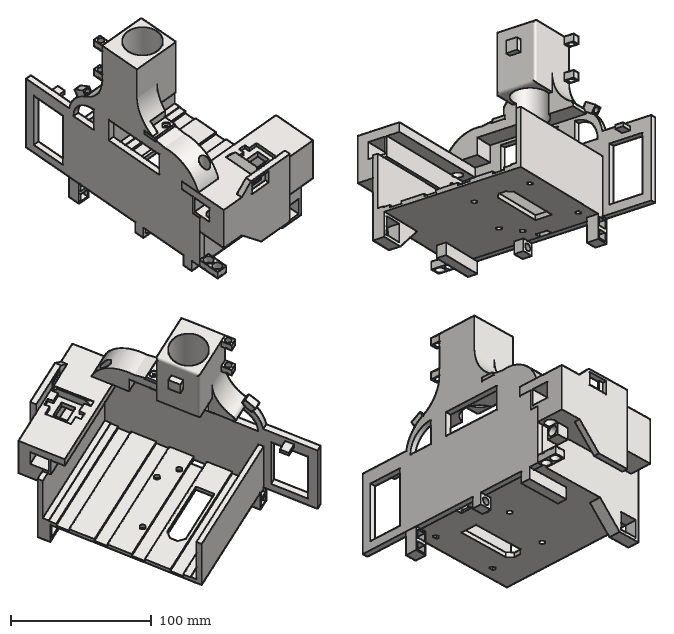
import cadquery as cq
import math


def block(x_range, y_range, z_range):
    """Axis-aligned block given by its extents."""
    (x0, x1), (y0, y1), (z0, z1) = x_range, y_range, z_range
    return cq.Workplane("XY").box(x1 - x0, y1 - y0, z1 - z0, centered=False).translate((x0, y0, z0))


def along_y(sketch, y_range):
    """Solid swept along +Y from a closed wire drawn on the XZ plane at Y = 0."""
    y0, y1 = y_range
    return sketch.extrude(-(y1 - y0)).translate((0, y0, 0))


def along_x(points, x_range):
    """Solid swept along +X from a list of (y, z) corners."""
    x0, x1 = x_range
    return cq.Workplane("YZ").polyline(points).close().extrude(x1 - x0).translate((x0, 0, 0))


def drill_x(diameter, y, z, x_range):
    """Cylinder along X, used as a drill."""
    x0, x1 = x_range
    return cq.Workplane("YZ").center(y, z).circle(diameter / 2).extrude(x1 - x0).translate((x0, 0, 0))


def drill_y(diameter, x, z, y_range):
    """Cylinder along Y, used as a drill."""
    return along_y(cq.Workplane("XZ").center(x, z).circle(diameter / 2), y_range)


def drill_z(diameter, x, y, z_range):
    """Cylinder along Z, used as a drill."""
    z0, z1 = z_range
    return cq.Workplane("XY").center(x, y).circle(diameter / 2).extrude(z1 - z0).translate((0, 0, z0))


plate_thickness = 5.0
plate_right = 173.4
shoulder_z = 68.0
plate_top = 152.0
tower_left = 76.0
tower_right = 110.8
tower_depth = 40.7
tower_base_z = 102.3
arch_depth = 20.3
arch_base_z = 85.7
arch_radius = 30.0
crest_z = 93.5
depth = 103.0
wall_height = 47.8
leg_bottom = -20.0
leg_width = 10.0
box_top = 71.9
lid_bottom = 64.2

left_arch_x = 72.9
arch_centre_z = crest_z - arch_radius
left_neck_x = tower_left - arch_radius
left_neck_z = 117.3
right_neck_z = crest_z + arch_radius
right_arch_x = plate_right - arch_radius

right_neck_middle = (119.7, 101.9)
right_neck_end = (128.8, 95.0)
right_arch_start_x = 138.2


def on_arc(centre_x, centre_z, degrees):
    """Point on an outline arc at an angle measured from +X."""
    angle = math.radians(degrees)
    return (centre_x + arch_radius * math.cos(angle), centre_z + arch_radius * math.sin(angle))


def neck_and_tower(sketch):
    """Continue an outline from the left inflection point over the tower to the right arch."""
    return (
        sketch
        .threePointArc(on_arc(left_neck_x, left_neck_z, -30), (tower_left, left_neck_z))
        .lineTo(tower_left, plate_top)
        .lineTo(tower_right, plate_top)
        .lineTo(tower_right, right_neck_z)
        .threePointArc(right_neck_middle, right_neck_end)
        .lineTo(right_arch_start_x, crest_z)
        .threePointArc(on_arc(right_arch_x, arch_centre_z, 45), (plate_right, arch_centre_z))
    )


inflection = ((left_arch_x + left_neck_x) / 2, (arch_centre_z + left_neck_z) / 2)


def plate_panel():
    """Full outline of the plate, one plate thickness deep."""
    rise = shoulder_z - arch_centre_z
    left_arch_start = (left_arch_x - math.sqrt(arch_radius**2 - rise**2), shoulder_z)
    outline = (
        cq.Workplane("XZ")
        .moveTo(0, 0)
        .lineTo(0, shoulder_z)
        .lineTo(*left_arch_start)
        .threePointArc(on_arc(left_arch_x, arch_centre_z, 145), inflection)
    )
    outline = neck_and_tower(outline).lineTo(plate_right, 0).close()
    return along_y(outline, (0, plate_thickness))


def deep_rim():
    """Deeper band behind the arches, ending on the lid at its right foot."""
    rim_left = 57.7
    end_hollow = 0.8
    rim_foot_left = 142.2
    outline = cq.Workplane("XZ").moveTo(rim_left, arch_base_z).sagittaArc(inflection, end_hollow)
    outline = (
        neck_and_tower(outline)
        .lineTo(rim_foot_left, arch_centre_z)
        .lineTo(rim_foot_left, arch_base_z)
        .close()
    )
    rim = along_y(outline, (0, arch_depth))
    return rim.cut(block((rim_foot_left, plate_right), (plate_thickness, arch_depth), (0, box_top)))


def tower():
    """Square tower with rounded rear edges and a small boss on its back."""
    edge_radius = 2.0
    body = block((tower_left, tower_right), (0, tower_depth), (tower_base_z, plate_top))
    body = body.faces(">Y").edges().fillet(edge_radius)
    boss = block((88.7, 98.3), (tower_depth - edge_radius, 45.5), (129.5, 139.6))
    return body.union(boss)


def plate_windows():
    """Quarter-round, wide and tall openings in the panel."""
    window_bottom = 63.0
    window_top = 83.1
    through = (0, plate_thickness)
    quarter_x = 67.5
    quarter_radius = window_top - window_bottom
    quarter = (
        cq.Workplane("XZ")
        .moveTo(quarter_x, window_bottom)
        .lineTo(quarter_x - quarter_radius, window_bottom)
        .radiusArc((quarter_x, window_top), quarter_radius)
        .close()
    )
    wide = block((82.5, 133.0), through, (window_bottom, window_top))
    tall = block((7.7, 37.0), through, (7.7, 56.0))
    return along_y(quarter, through).union(wide).union(tall)


tower_bore_diameter = 29.0
rim_hole_diameter = 8.0
rim_hole_x, rim_hole_y = 163.3, 15.2

tongue_left, tongue_right = 117.9, 130.0
tongue_bottom, tongue_top = crest_z, 96.4
tongue_pocket_left, tongue_pocket_front = 118.9, 5.5
tongue_bevel = 1.4


def tongue_blank():
    """Tongue without its holes; its right end is bevelled."""
    profile = (
        cq.Workplane("XZ")
        .moveTo(tongue_left, tongue_bottom)
        .lineTo(tongue_left, tongue_top)
        .lineTo(tongue_right - tongue_bevel, tongue_top)
        .lineTo(tongue_right, tongue_bottom)
        .close()
    )
    return along_y(profile, (0, arch_depth))


def plate_lugs():
    """Short drilled lug and long plain lug below the plate."""
    lug_width, lug_bottom = 8.3, -10.0
    short_left, short_depth = 109.0, leg_width
    long_left, long_depth = 157.2, 37.5
    short_span = (short_left, short_left + lug_width)
    short_lug = block(short_span, (0, short_depth), (lug_bottom, 0))
    short_lug = short_lug.cut(drill_x(6.0, short_depth / 2, lug_bottom / 2, short_span))
    long_lug = block((long_left, long_left + lug_width), (0, long_depth), (lug_bottom, 0))
    return short_lug.union(long_lug)


def make_front_plate():
    """Panel, rim and tower with their openings, cut back where the tongue and the box sit."""
    plate = plate_panel().union(deep_rim()).union(tower()).cut(plate_windows())
    bore_x, bore_y = (tower_left + tower_right) / 2, 23.3
    plate = plate.cut(drill_z(tower_bore_diameter, bore_x, bore_y, (0, plate_top)))
    plate = plate.cut(drill_z(rim_hole_diameter, rim_hole_x, rim_hole_y, (box_top, plate_top)))
    pocket = block(
        (tongue_pocket_left, tongue_right - tongue_bevel),
        (tongue_pocket_front, arch_depth),
        (tongue_top, right_neck_z),
    )
    plate = plate.cut(pocket).cut(tongue_blank())

    catch = block((18.5, 25.7), (plate_thickness, 13.5), (61.0, lid_bottom))
    return plate.union(plate_lugs()).union(catch).cut(box_blank())


box_left = 166.7
box_right = 192.5
box_depth = 95.4
box_bottom = 34.4
lid_left = 155.6
flange_right = 197.5


def box_blank():
    """Box hooked over the right wall, with the lid reaching left."""
    upper = block((box_left, box_right), (0, box_depth), (wall_height, box_top))
    outer = block((plate_right, box_right), (0, box_depth), (box_bottom, box_top))
    lid = block((lid_left, box_right), (0, box_depth), (lid_bottom, box_top))
    return upper.union(outer).union(lid)


def flange():
    """End flange with an upper ear, pierced by a window, and a lower ear."""
    ear_top, ear_bottom = 81.4, 14.6
    ear_window_top = 79.0
    front, rear = 18.2, 67.0
    outline = [
        (0, box_bottom),
        (0, box_top),
        (front, box_top),
        (front + ear_top - box_top, ear_top),
        (rear, ear_top),
        (rear, ear_bottom),
        (front + box_bottom - ear_bottom, ear_bottom),
        (front, box_bottom),
    ]
    window = block((box_right, flange_right), (29.6, 41.5), (box_top - 0.4, ear_window_top))
    web_thickness = 1.5
    relief = block((box_right + web_thickness, flange_right), (28.6, 45.5), (68.0, ear_window_top))
    return along_x(outline, (box_right, flange_right)).cut(window).cut(relief)


def ridge():
    """Hipped ridge on the lid: upright rear face, other sides at 45 degrees."""
    left, right, front, rear = 160.5, 191.4, 39.7, 44.5
    height = rear - front
    section = along_x([(front, box_top), (rear, box_top), (rear, box_top + height)], (left, right))
    hips = (
        cq.Workplane("XZ")
        .polyline([
            (left, box_top),
            (left + height, box_top + height),
            (right - height, box_top + height),
            (right, box_top),
        ])
        .close()
    )
    return section.intersect(along_y(hips, (front, rear)))


def lid_socket():
    """Square socket in the lid: wide recess, two side notches and an opening into the channel."""
    recess_floor = 69.0
    recess = block((165.9, 186.5), (44.5, 65.2), (recess_floor, box_top))
    notches = block((161.5, 190.8), (52.1, 57.9), (recess_floor, box_top))
    opening = block((170.6, 181.7), (48.5, 61.6), (lid_bottom, box_top))
    return recess.union(notches).union(opening)


def make_box():
    """Box with its flange and ridge, a channel from front to rear, the socket and three holes."""
    channel_left, channel_right, channel_bottom = 168.5, 183.0, 50.5
    channel = block((channel_left, channel_right), (0, box_depth), (channel_bottom, lid_bottom))
    box = box_blank().union(flange()).union(ridge())
    box = box.cut(channel).cut(lid_socket())
    box = box.cut(drill_z(rim_hole_diameter, rim_hole_x, rim_hole_y, (lid_bottom, box_top)))
    floor_hole = drill_z(9.0, 179.3, 7.3, (box_bottom, channel_bottom))
    side_hole = drill_x(4.3, 17.0, 55.9, (box_left, channel_left))
    return box.cut(floor_hole).cut(side_hole)


tray_left = 42.9
wall_thickness = 4.1
gap_rear = 10.0
groove_level = 2.0
floor_level = 4.0


def floor():
    """Floor with four grooves between raised strips and a ledge along each wall."""
    ledge_width, ledge_level = 8.9, 4.5
    grooves = [(57.7, 67.7), (88.0, 98.3), (117.9, 128.2), (148.3, 158.5)]
    span = (plate_thickness, depth)
    panel = block((tray_left, plate_right), span, (0, floor_level))
    for groove in grooves:
        panel = panel.cut(block(groove, span, (groove_level, floor_level)))
    panel = panel.cut(block(grooves[1], (plate_thickness, gap_rear), (0, floor_level)))
    panel = panel.cut(floor_openings())
    for ledge in [(tray_left, tray_left + ledge_width), (plate_right - ledge_width, plate_right)]:
        panel = panel.union(block(ledge, span, (0, ledge_level)))
    return panel


def floor_openings():
    """Mounting holes and the slot with a bevelled rear end."""
    slot_left, slot_right, slot_front, slot_rear, bevel = 70.3, 85.0, 28.5, 78.0, 4.3
    openings = (
        cq.Workplane("XY")
        .polyline([
            (slot_left, slot_front),
            (slot_right, slot_front),
            (slot_right, slot_rear - bevel),
            (slot_right - bevel, slot_rear),
            (slot_left + bevel, slot_rear),
            (slot_left, slot_rear - bevel),
        ])
        .close()
        .extrude(floor_level)
    )
    corner_holes = [(x, y) for x in (53.1, 102.5) for y in (20.0, 77.8)]
    lone_hole = (113.5, 33.2)
    for x, y in corner_holes + [lone_hole]:
        openings = openings.union(drill_z(4.3, x, y, (0, floor_level)))
    return openings


def rear_leg():
    """Rear right leg with a sloping front and a square window."""
    x_range = (plate_right - leg_width, plate_right)
    foot_front = 83.7
    outline = [(foot_front + leg_bottom, 0), (depth, 0), (depth, leg_bottom), (foot_front, leg_bottom)]
    leg = along_x(outline, x_range)
    return leg.cut(block(x_range, (85.3, 100.3), (-17.2, -2.4)))


def front_leg():
    """Front leg with two square windows."""
    x_range = (tray_left, tray_left + leg_width)
    window_size, window_front = 7.0, 2.0
    leg = block(x_range, (0, leg_width), (leg_bottom, 0))
    for window_bottom in (-8.7, -18.8):
        y_range = (window_front, window_front + window_size)
        window = block(x_range, y_range, (window_bottom, window_bottom + window_size))
        leg = leg.cut(window)
    return leg


def side_brackets():
    """Two drilled brackets on the outside of the right wall."""
    arm_top = 6.3
    arm = block((plate_right, 191.4), (0, 8.9), (0, arm_top))
    hole_y = 4.3
    for x in (178.0, 186.8):
        arm = arm.cut(drill_z(7.5, x, hole_y, (0, arm_top)))
    eye_size, eye_bottom, eye_front = 10.0, 24.3, 10.3
    eye_span = (eye_front, eye_front + eye_size)
    eye = block((plate_right, plate_right + eye_size), eye_span, (eye_bottom, box_bottom))
    eye = eye.cut(drill_y(8.0, plate_right + eye_size / 2, eye_bottom + eye_size / 2, eye_span))
    return arm.union(eye)


def make_tray():
    """Floor between two side walls, with legs and brackets."""
    tray = floor()
    for left in (tray_left, plate_right - wall_thickness):
        tray = tray.union(block((left, left + wall_thickness), (plate_thickness, depth), (0, wall_height)))
    return tray.union(rear_leg()).union(front_leg()).union(side_brackets())


def make_tongue():
    """Tongue with a counterbored screw hole."""
    screw_x, screw_y = 125.0, rim_hole_y
    head_depth = 1.0
    head = drill_z(6.0, screw_x, screw_y, (tongue_top - head_depth, tongue_top))
    shank = drill_z(2.0, screw_x, screw_y, (tongue_bottom, tongue_top))
    return tongue_blank().cut(head).cut(shank)


guide_reach, guide_width, guide_height = 8.3, 6.1, 6.1


def make_wall_guide(bottom):
    """Guide on the left face of the tower, drilled upright."""
    x_range = (tower_left - guide_reach, tower_left)
    guide = block(x_range, (0, guide_width), (bottom, bottom + guide_height))
    bore = drill_z(5.0, tower_left - guide_reach / 2, guide_width / 2, (bottom, bottom + guide_height))
    return guide.cut(bore)


arch_guide_length = 9.9


def tilt_into_place(shape):
    """Turn a shape built along +X and move it to the upper end of the left arch."""
    tilt, upper_left = 30.0, (48.4, 89.9)
    return shape.rotate((0, 0, 0), (0, 1, 0), -tilt).translate((upper_left[0], 0, upper_left[1]))


def arch_guide_bore():
    """Lengthways bore of the tilted guide."""
    return tilt_into_place(drill_x(4.5, guide_width / 2, -3.0, (0, arch_guide_length)))


def make_arch_guide(plate):
    """Guide tilted along the left neck, trimmed to the plate."""
    height = 7.0
    guide = tilt_into_place(block((0, arch_guide_length), (0, guide_width), (-height, 0)))
    return guide.cut(arch_guide_bore()).cut(plate)


front_plate = make_front_plate()
box = make_box()
tray = make_tray()
tongue = make_tongue()
wall_guides = [make_wall_guide(bottom) for bottom in (117.1, plate_top - guide_height)]
arch_guide = make_arch_guide(front_plate)
front_plate = front_plate.cut(arch_guide_bore())

result = cq.Compound.makeCompound([
    front_plate.val(),
    box.val(),
    tray.val(),
    tongue.val(),
    *[guide.val() for guide in wall_guides],
    arch_guide.val(),
])